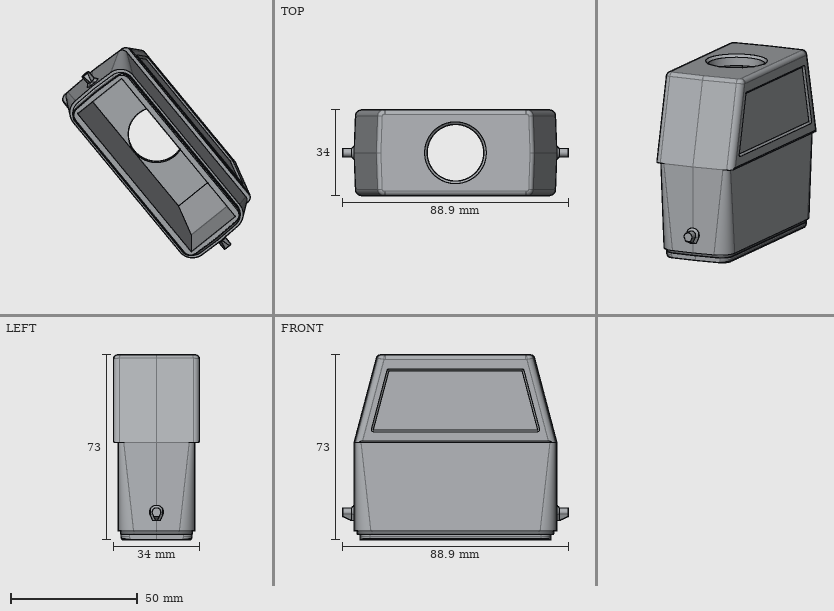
import cadquery as cq
import math

LENGTH = 88.9
HEIGHT = 73.0

LEDGE_Z = 38.3
LEDGE_BEVEL_HEIGHT = 0.7
LEDGE_BEVEL_DEPTH = 0.4
UPPER_HALF_WIDTH = 17.0
UPPER_CORNER_RADIUS = 2.6
TOP_HALF_LENGTH = 30.85
TOP_EDGE_RADIUS = 1.9

BODY_BOTTOM_Z = 3.6
BODY_HALF_LENGTH = 40.0
BODY_HALF_WIDTH = 15.1
BODY_TOP_CORNER_RADIUS = 2.3
BODY_BOTTOM_CORNER_RADIUS = 6.3

END_RIDGE_SLOPE = 0.037

BEAD_BOTTOM_Z = 2.05
BEAD_HALF_LENGTH = 38.85
BEAD_HALF_WIDTH = 14.2
BEAD_CORNER_RADIUS = 5.6
BEAD_EDGE_RADIUS = 0.7

LIP_UPPER_BEVEL_Z = 1.25
LIP_LOWER_BEVEL_Z = 0.5
LIP_HALF_LENGTH = 37.7
LIP_HALF_WIDTH = 14.05
LIP_MIDDLE_HALF_WIDTH = 13.9
LIP_BOTTOM_HALF_WIDTH = 13.4
LIP_CORNER_RADIUS = 3.6

ENTRY_DIAMETER = 22.2
ENTRY_CHAMFER = 1.1

END_WALL = 4.45
CAVITY_HALF_WIDTH = 11.2
CAVITY_TOP_Z = HEIGHT - 4.45

RECESS_DEPTH = 0.8
RECESS_BOTTOM_Z = 42.6
RECESS_TOP_Z = 67.4
RECESS_BOTTOM_HALF_LENGTH = 33.4
RECESS_TOP_HALF_LENGTH = 26.85
RECESS_CORNER_RADIUS = 0.9
RECESS_WALL_TAPER = 45.0

PIN_Z = 10.9
PIN_RADIUS = 1.7
PIN_POINT_HALF_ANGLE = 24.5
PIN_TIP_DROP = 1.8
PIN_ROOT_DROP = 3.4
COLLAR_RADIUS = 2.8
COLLAR_X = 41.0

END_SLOPE = (BODY_HALF_LENGTH - TOP_HALF_LENGTH) / (HEIGHT - LEDGE_Z)


def upper_half_length(z):
    """Half length of the upper part, at the end ridges, at height z."""
    return BODY_HALF_LENGTH - END_SLOPE * (z - LEDGE_Z)


def ridged_points(z, half_length, half_width):
    """Corners of a rectangle at height z whose two ends rise to a ridge at Y = 0."""
    corner_x = half_length - END_RIDGE_SLOPE * half_width
    corners = [
        (half_length, 0),
        (corner_x, half_width),
        (-corner_x, half_width),
        (-half_length, 0),
        (-corner_x, -half_width),
        (corner_x, -half_width),
    ]
    return [cq.Vector(x, y, z) for x, y in corners]


def ridged_outline(z, half_length, half_width, corner_radius):
    """Ridged rectangle with its four corners rounded."""
    wire = cq.Wire.makePolygon(ridged_points(z, half_length, half_width), close=True)
    corners = [v for v in wire.Vertices() if abs(v.Y) > half_width / 2]
    return wire.fillet2D(corner_radius, corners)


def ruled_solid(*outlines):
    return cq.Workplane(cq.Solid.makeLoft(list(outlines), True))


def flat_sided_solid(lower, upper):
    """Solid between two rings of points, with one flat face for each pair of sides."""
    sides = [
        [lower[i - 1], lower[i], upper[i], upper[i - 1]] for i in range(len(lower))
    ]
    faces = [
        cq.Face.makeFromWires(cq.Wire.makePolygon(ring, close=True))
        for ring in [lower, upper, *sides]
    ]
    return cq.Workplane(cq.Solid.makeSolid(cq.Shell.makeShell(faces)).fix())


def make_upper_part():
    hood = flat_sided_solid(
        ridged_points(LEDGE_Z, BODY_HALF_LENGTH, UPPER_HALF_WIDTH),
        ridged_points(HEIGHT, TOP_HALF_LENGTH, UPPER_HALF_WIDTH),
    )
    long_sides = hood.faces("<Y or >Y")
    corner_edges = long_sides.edges("not(|X)")
    hood = corner_edges.fillet(UPPER_CORNER_RADIUS)
    hood = hood.faces(">Z").edges().fillet(TOP_EDGE_RADIUS)

    right_section = [
        (UPPER_HALF_WIDTH - LEDGE_BEVEL_DEPTH, LEDGE_Z),
        (UPPER_HALF_WIDTH, LEDGE_Z + LEDGE_BEVEL_HEIGHT),
        (UPPER_HALF_WIDTH, HEIGHT),
    ]
    section = right_section + [(-y, z) for y, z in reversed(right_section)]
    envelope = cq.Workplane("YZ").polyline(section).close().extrude(BODY_HALF_LENGTH, both=True)
    return hood.intersect(envelope)


def make_lower_part():
    return ruled_solid(
        ridged_outline(
            BODY_BOTTOM_Z, BODY_HALF_LENGTH, BODY_HALF_WIDTH, BODY_BOTTOM_CORNER_RADIUS
        ),
        ridged_outline(LEDGE_Z, BODY_HALF_LENGTH, BODY_HALF_WIDTH, BODY_TOP_CORNER_RADIUS),
    )


def make_bead():
    bead = ruled_solid(
        *[
            ridged_outline(z, BEAD_HALF_LENGTH, BEAD_HALF_WIDTH, BEAD_CORNER_RADIUS)
            for z in (BEAD_BOTTOM_Z, BODY_BOTTOM_Z)
        ]
    )
    return bead.faces("<Z or >Z").edges().fillet(BEAD_EDGE_RADIUS)


def make_lip():
    levels = [
        (0, LIP_BOTTOM_HALF_WIDTH),
        (LIP_LOWER_BEVEL_Z, LIP_MIDDLE_HALF_WIDTH),
        (LIP_UPPER_BEVEL_Z, LIP_HALF_WIDTH),
        (BEAD_BOTTOM_Z, LIP_HALF_WIDTH),
    ]
    return ruled_solid(
        *[ridged_outline(z, LIP_HALF_LENGTH, width, LIP_CORNER_RADIUS) for z, width in levels]
    )


def make_cavity():
    """Hollow open at the bottom, following the upright and sloping ends."""
    profile = [
        (BODY_HALF_LENGTH - END_WALL, 0),
        (BODY_HALF_LENGTH - END_WALL, LEDGE_Z),
        (upper_half_length(CAVITY_TOP_Z) - END_WALL, CAVITY_TOP_Z),
    ]
    profile += [(-x, z) for x, z in reversed(profile)]
    return cq.Workplane("XZ").polyline(profile).close().extrude(CAVITY_HALF_WIDTH, both=True)


def make_cable_entry():
    radius = ENTRY_DIAMETER / 2
    depth = HEIGHT - CAVITY_TOP_Z
    bore = cq.Workplane("XY", origin=(0, 0, CAVITY_TOP_Z)).circle(radius).extrude(depth)
    countersink = cq.Solid.makeCone(
        radius, radius + ENTRY_CHAMFER, ENTRY_CHAMFER, cq.Vector(0, 0, HEIGHT - ENTRY_CHAMFER)
    )
    return bore.union(cq.Workplane(countersink))


def make_front_recess():
    """Trapezoid recess in the front whose walls slope in towards its floor."""
    right_side = [
        (RECESS_BOTTOM_HALF_LENGTH, RECESS_BOTTOM_Z),
        (RECESS_TOP_HALF_LENGTH, RECESS_TOP_Z),
    ]
    points = right_side + [(-x, z) for x, z in reversed(right_side)]
    corners = [cq.Vector(x, -UPPER_HALF_WIDTH, z) for x, z in points]
    outline = cq.Wire.makePolygon(corners, close=True)
    outline = outline.fillet2D(RECESS_CORNER_RADIUS, outline.Vertices())
    inward = cq.Vector(0, RECESS_DEPTH, 0)
    return cq.Workplane(cq.Solid.extrudeLinear(outline, [], inward, RECESS_WALL_TAPER))


def teardrop(x, radius):
    """Circle about the pin axis drawn out to a point below, in the plane at x."""
    angle = math.radians(PIN_POINT_HALF_ANGLE)
    tangent_y = radius * math.cos(angle)
    tangent_z = -radius * math.sin(angle)
    point_z = -radius / math.sin(angle)
    outline = (
        cq.Workplane("YZ", origin=(x, 0, PIN_Z))
        .moveTo(0, point_z)
        .lineTo(tangent_y, tangent_z)
        .threePointArc((0, radius), (-tangent_y, tangent_z))
        .close()
    )
    return outline.val()


def make_right_pin():
    """Pin and its flared collar, sunk into the end wall."""
    tip_x = LENGTH / 2
    root_x = COLLAR_X - (COLLAR_RADIUS - PIN_RADIUS)
    flare = ruled_solid(teardrop(root_x, COLLAR_RADIUS), teardrop(COLLAR_X, PIN_RADIUS))
    shank = ruled_solid(teardrop(COLLAR_X, PIN_RADIUS), teardrop(tip_x, PIN_RADIUS))
    side_profile = [
        (root_x, PIN_Z - PIN_ROOT_DROP),
        (COLLAR_X, PIN_Z - PIN_ROOT_DROP),
        (tip_x, PIN_Z - PIN_TIP_DROP),
        (tip_x, PIN_Z + COLLAR_RADIUS),
        (root_x, PIN_Z + COLLAR_RADIUS),
    ]
    envelope = cq.Workplane("XZ").polyline(side_profile).close().extrude(COLLAR_RADIUS, both=True)
    return flare.union(shank).intersect(envelope)


front_recess = make_front_recess()
right_pin = make_right_pin()

result = make_lower_part().union(make_upper_part()).union(make_bead()).union(make_lip())
result = result.cut(make_cavity()).cut(make_cable_entry())
result = result.cut(front_recess).cut(front_recess.mirror("XZ"))
result = result.union(right_pin).union(right_pin.mirror("YZ"))